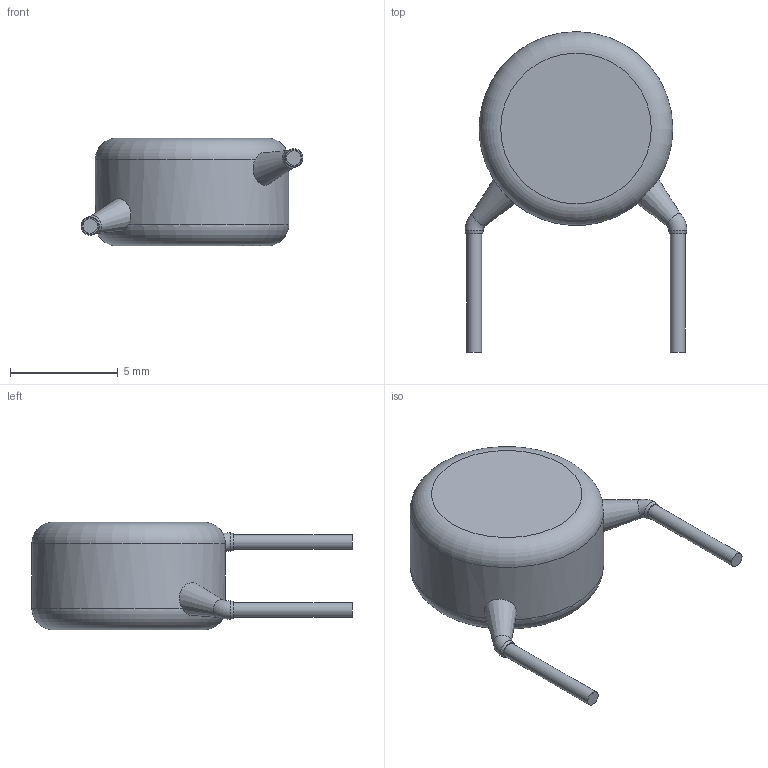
import cadquery as cq
import math

DISC_DIAMETER = 9.0
DISC_HEIGHT = 5.0
DISC_EDGE_RADIUS = 1.0

LEAD_RADIUS = 0.34
LEAD_X = 4.73
LEAD_Z = 1.58
LEAD_TIP_Y = -10.39

SLEEVE_RADIUS = 0.425
SLEEVE_ROOT_RADIUS = 0.75
SLEEVE_ROOT = cq.Vector(-3.33, -2.935, -1.09)
SLEEVE_ROOT_DEPTH = 1.0
BEND_CORNER_Y = -4.44
BEND_TANGENT = 0.3
LIP_LENGTH = 0.14
LIP_TIP_RADIUS = 0.385

BEND_CORNER = cq.Vector(-LEAD_X, BEND_CORNER_Y, -LEAD_Z)
LEAD_DIRECTION = cq.Vector(0, -1, 0)
BEND_END = BEND_CORNER + LEAD_DIRECTION * BEND_TANGENT
LIP_TIP = BEND_END + LEAD_DIRECTION * LIP_LENGTH

LEAD_TURNS = (0, 180)


def turn_about_y(shape, angle):
    return shape.rotate((0, 0, 0), (0, 1, 0), angle)


def make_disc():
    base = cq.Workplane("XY").workplane(offset=-DISC_HEIGHT / 2)
    disc = base.circle(DISC_DIAMETER / 2).extrude(DISC_HEIGHT)
    return disc.faces("<Z or >Z").edges().fillet(DISC_EDGE_RADIUS)


def make_sleeve():
    run = BEND_CORNER - SLEEVE_ROOT
    direction = run.normalized()
    bend_start = BEND_CORNER - direction * BEND_TANGENT

    taper_length = run.Length - BEND_TANGENT
    taper = (SLEEVE_ROOT_RADIUS - SLEEVE_RADIUS) / taper_length
    cone = cq.Solid.makeCone(
        SLEEVE_ROOT_RADIUS + taper * SLEEVE_ROOT_DEPTH,
        SLEEVE_RADIUS,
        taper_length + SLEEVE_ROOT_DEPTH,
        SLEEVE_ROOT - direction * SLEEVE_ROOT_DEPTH,
        direction,
    )

    bend_angle = direction.getAngle(LEAD_DIRECTION)
    bend_radius = BEND_TANGENT / math.tan(bend_angle / 2)
    bisector = (LEAD_DIRECTION - direction).normalized()
    bend_center = BEND_CORNER + bisector * (bend_radius / math.cos(bend_angle / 2))
    bend_middle = bend_center - bisector * bend_radius
    path = cq.Workplane(cq.Edge.makeThreePointArc(bend_start, bend_middle, BEND_END))
    bend_profile = cq.Workplane(cq.Plane(bend_start, normal=direction)).circle(SLEEVE_RADIUS)
    bend = bend_profile.sweep(path)

    lip = cq.Solid.makeCone(SLEEVE_RADIUS, LIP_TIP_RADIUS, LIP_LENGTH, BEND_END, LEAD_DIRECTION)
    return bend.union(cq.Workplane(cone)).union(cq.Workplane(lip))


def make_coating():
    coating = make_disc()
    sleeve = make_sleeve()
    for angle in LEAD_TURNS:
        coating = coating.union(turn_about_y(sleeve, angle))
    return coating


def make_lead(angle):
    """Round wire that starts at the lip of its sleeve."""
    length = LIP_TIP.y - LEAD_TIP_Y
    lead = cq.Workplane(cq.Plane(LIP_TIP, normal=LEAD_DIRECTION)).circle(LEAD_RADIUS).extrude(length)
    return turn_about_y(lead, angle)


coating = make_coating()
leads = [make_lead(angle) for angle in LEAD_TURNS]
result = cq.Compound.makeCompound([coating.solids().val(), *[lead.val() for lead in leads]])